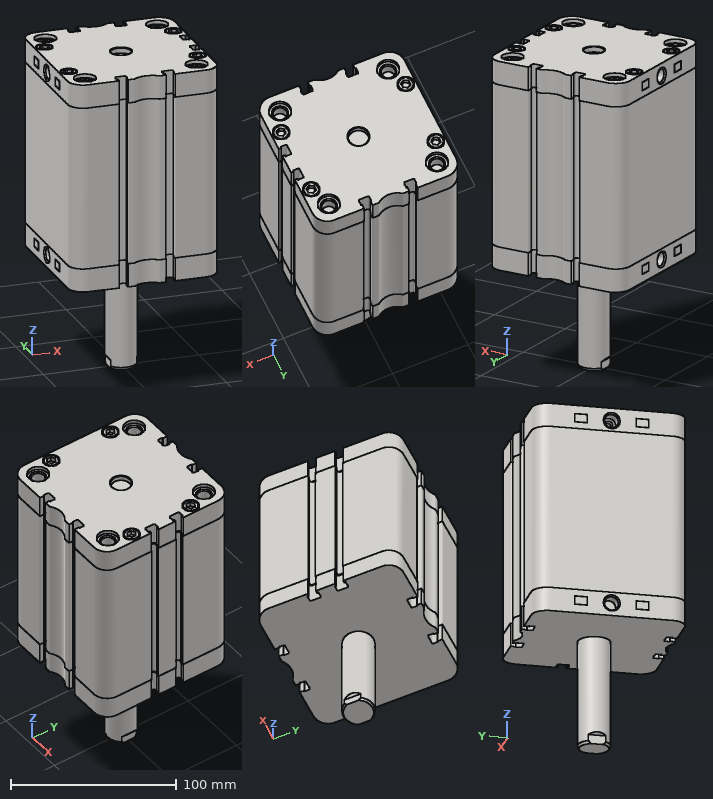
import cadquery as cq
import math

TOTAL_LENGTH = 203.0
SIDE = 95.5
HALF_SIDE = SIDE / 2
BODY_LENGTH = 134.2
CAP_LENGTH = 15.0
CORNER_RADIUS = 10.0
TUBE_LENGTH = BODY_LENGTH - 2 * CAP_LENGTH
ROD_REACH = TOTAL_LENGTH - BODY_LENGTH

FACE_SLOT = (5.7, 7.0, 3.2, 7.0)
CAP_SIDE_SLOT = (5.5, 7.3, 1.8, 5.7)
TUBE_SIDE_SLOT = (4.9, 6.0, 1.8, 5.0)
FACE_SLOT_OFFSET = 15.0
SIDE_SLOT_OFFSET = 9.1
SLOT_FLOOR_RADIUS = 0.8
LIP_RADIUS = 0.6

SCALLOP_DIAMETER = 25.0
SCALLOP_DEPTH = 2.8
CAP_LIP_REACH = FACE_SLOT_OFFSET - FACE_SLOT[0] / 2 - LIP_RADIUS
TUBE_LIP_REACH = FACE_SLOT_OFFSET + FACE_SLOT[0]

CENTRE_RECESS_DIAMETER = 12.8
CENTRE_CHAMFER_DIAMETER = 13.5
CENTRE_RECESS_DEPTH = 3.7
MOUNT_OFFSET = 36.0
MOUNT_BORE_DIAMETER = 13.5
MOUNT_BORE_DEPTH = 2.5
MOUNT_HOLE_DIAMETER = 8.5
MOUNT_HOLE_DEPTH = 10.2
MOUNT_CHAMFER_DIAMETER = 10.2
SCREW_X = 41.5
SCREW_Y = 22.1
SCREW_HEAD_DIAMETER = 9.1
SCREW_SEAT_DIAMETER = 10.4
SCREW_GAP_DEPTH = 1.0
HEX_ACROSS_FLATS = 5.0
HEX_DEPTH = 3.0

PORT_SETBACK = 8.1
PORT_DIAMETER = 8.5
PORT_CHAMFER_DIAMETER = 10.4
PORT_DEPTH = 8.1
PORT_PASSAGE_DIAMETER = 5.0
PORT_PASSAGE_DEPTH = 12.2
LABEL_OFFSET = 19.0
LABEL_WIDTH = 7.7
LABEL_HEIGHT = 5.3
LABEL_DEPTH = 0.2

ROD_DIAMETER = 20.0
ROD_RADIUS = ROD_DIAMETER / 2
FLAT_SPACING = 16.8
FLAT_LENGTH = 5.7
ROD_TIP_INSET = 0.8
ROD_TIP_HEIGHT = 1.8


def t_slot(size, length):
    """Cutter for a T-slot whose mouth opens at Y = 0 and which runs down to -Y."""
    mouth_width, inner_width, lip, depth = size
    mouth_reach = depth - SLOT_FLOOR_RADIUS
    mouth = cq.Workplane("XY").rect(mouth_width, 2 * mouth_reach).extrude(length)
    inner = (
        cq.Workplane("XY")
        .center(0, -(lip + depth) / 2)
        .rect(inner_width, depth - lip)
        .extrude(length)
        .edges("|Z and <Y")
        .fillet(SLOT_FLOOR_RADIUS)
    )
    return mouth.union(inner)


def scallop(length):
    """Cutter for the round channel, reaching SCALLOP_DEPTH below Y = 0."""
    radius = SCALLOP_DIAMETER / 2
    return cq.Workplane("XY").center(0, radius - SCALLOP_DEPTH).circle(radius).extrude(length)


def grooved_block(length, side_slot):
    """Rounded square block with its lengthwise slots and channels, standing on Z = 0."""
    block = cq.Workplane("XY").rect(SIDE, SIDE).extrude(length).edges("|Z").fillet(CORNER_RADIUS)
    for turn in (0, 180):
        for offset, cutter in (
            (-FACE_SLOT_OFFSET, t_slot(FACE_SLOT, length)),
            (0, scallop(length)),
            (FACE_SLOT_OFFSET, t_slot(FACE_SLOT, length)),
        ):
            placed = cutter.translate((offset, HALF_SIDE, 0))
            block = block.cut(placed.rotate((0, 0, 0), (0, 0, 1), turn))
    for offset in (-SIDE_SLOT_OFFSET, SIDE_SLOT_OFFSET):
        placed = t_slot(side_slot, length).translate((offset, HALF_SIDE, 0))
        block = block.cut(placed.rotate((0, 0, 0), (0, 0, 1), -90))
    return block


def chamfered_hole(diameter, chamfer_diameter, depth):
    """Cutter for a blind hole down from Z = 0, with a 45 degree chamfer at its mouth."""
    radius = diameter / 2
    chamfer_radius = chamfer_diameter / 2
    return (
        cq.Workplane("XZ")
        .polyline(
            [
                (0, 0),
                (chamfer_radius, 0),
                (radius, radius - chamfer_radius),
                (radius, -depth),
                (0, -depth),
            ]
        )
        .close()
        .revolve(360, (0, 0, 0), (0, 1, 0))
    )


def round_lips(block, length, reach):
    """Round the lengthwise edges on the +Y and -Y faces that lie within reach of the middle."""
    margin = 0.2
    for y in (-HALF_SIDE, HALF_SIDE):
        lips = cq.selectors.BoxSelector((-reach, y - margin, 0), (reach, y + margin, length))
        block = block.edges("|Z").edges(lips).fillet(LIP_RADIUS)
    return block


def cap_blank(port_height):
    """Cap standing on Z = 0, with the port and the two label fields in its -X face."""
    port = chamfered_hole(PORT_DIAMETER, PORT_CHAMFER_DIAMETER, PORT_DEPTH)
    port = port.rotate((0, 0, 0), (0, 1, 0), -90).translate((-HALF_SIDE, 0, port_height))
    cap = grooved_block(CAP_LENGTH, CAP_SIDE_SLOT)
    cap = round_lips(cap, CAP_LENGTH, CAP_LIP_REACH).cut(port)
    labels = (
        cq.Workplane("YZ", origin=(-HALF_SIDE, 0, port_height))
        .pushPoints([(-LABEL_OFFSET, 0), (LABEL_OFFSET, 0)])
        .rect(LABEL_WIDTH, LABEL_HEIGHT)
        .extrude(LABEL_DEPTH)
    )
    return cap.cut(labels)


def make_front_cap():
    """Cap at the rod end, bored to let the rod through."""
    rod_bore = cq.Workplane("XY").circle(ROD_RADIUS).extrude(CAP_LENGTH)
    return cap_blank(PORT_SETBACK).cut(rod_bore)


def make_rear_cap():
    """Cap at the closed end, with its recess, mounting holes and sunk screw heads."""
    port_height = CAP_LENGTH - PORT_SETBACK
    passage = (
        cq.Workplane("YZ", origin=(-HALF_SIDE, 0, port_height))
        .circle(PORT_PASSAGE_DIAMETER / 2)
        .extrude(PORT_PASSAGE_DEPTH)
    )
    end_face = cq.Workplane("XY", origin=(0, 0, CAP_LENGTH))
    centre_recess = chamfered_hole(CENTRE_RECESS_DIAMETER, CENTRE_CHAMFER_DIAMETER, CENTRE_RECESS_DEPTH)
    centre_recess = centre_recess.translate((0, 0, CAP_LENGTH))
    cap = cap_blank(port_height).cut(passage).cut(centre_recess)

    mount_points = [(x, y) for x in (-MOUNT_OFFSET, MOUNT_OFFSET) for y in (-MOUNT_OFFSET, MOUNT_OFFSET)]
    mount_bores = end_face.pushPoints(mount_points).circle(MOUNT_BORE_DIAMETER / 2)
    cap = cap.cut(mount_bores.extrude(-MOUNT_BORE_DEPTH))
    mount_hole = chamfered_hole(
        MOUNT_HOLE_DIAMETER, MOUNT_CHAMFER_DIAMETER, MOUNT_HOLE_DEPTH - MOUNT_BORE_DEPTH
    )
    for x, y in mount_points:
        cap = cap.cut(mount_hole.translate((x, y, CAP_LENGTH - MOUNT_BORE_DEPTH)))

    screw_points = [(x, y) for x in (-SCREW_X, SCREW_X) for y in (-SCREW_Y, SCREW_Y)]
    screws = end_face.pushPoints(screw_points)
    gaps = (
        screws.circle(SCREW_SEAT_DIAMETER / 2)
        .circle(SCREW_HEAD_DIAMETER / 2)
        .extrude(-SCREW_GAP_DEPTH)
    )
    hex_across_corners = HEX_ACROSS_FLATS / math.cos(math.pi / 6)
    sockets = (
        end_face.transformed(rotate=(0, 0, 90))
        .pushPoints([(y, -x) for x, y in screw_points])
        .polygon(6, hex_across_corners)
        .extrude(-HEX_DEPTH)
    )
    return cap.cut(gaps).cut(sockets).translate((0, 0, BODY_LENGTH - CAP_LENGTH))


def make_tube():
    """Profile tube between the caps, with rounded slot and channel edges on +Y and -Y."""
    tube = grooved_block(TUBE_LENGTH, TUBE_SIDE_SLOT)
    tube = round_lips(tube, TUBE_LENGTH, TUBE_LIP_REACH)
    return tube.translate((0, 0, CAP_LENGTH))


def make_rod():
    """Piston rod with a tapered tip and two wrench flats that run out at 45 degrees."""
    tip_radius = ROD_RADIUS - ROD_TIP_INSET
    rod = (
        cq.Workplane("XZ")
        .polyline(
            [
                (0, -ROD_REACH),
                (tip_radius, -ROD_REACH),
                (ROD_RADIUS, ROD_TIP_HEIGHT - ROD_REACH),
                (ROD_RADIUS, CAP_LENGTH),
                (0, CAP_LENGTH),
            ]
        )
        .close()
        .revolve(360, (0, 0, 0), (0, 1, 0))
    )
    flat = FLAT_SPACING / 2
    run_out = ROD_RADIUS - flat
    flat_top = FLAT_LENGTH - ROD_REACH
    for side in (-1, 1):
        cutter = (
            cq.Workplane("XZ")
            .polyline(
                [
                    (side * flat, -ROD_REACH),
                    (side * flat, flat_top),
                    (side * ROD_RADIUS, flat_top + run_out),
                    (side * ROD_RADIUS, -ROD_REACH),
                ]
            )
            .close()
            .extrude(ROD_RADIUS, both=True)
        )
        rod = rod.cut(cutter)
    return rod


front_cap = make_front_cap()
tube = make_tube()
rear_cap = make_rear_cap()
rod = make_rod()

result = cq.Compound.makeCompound([front_cap.val(), tube.val(), rear_cap.val(), rod.val()])